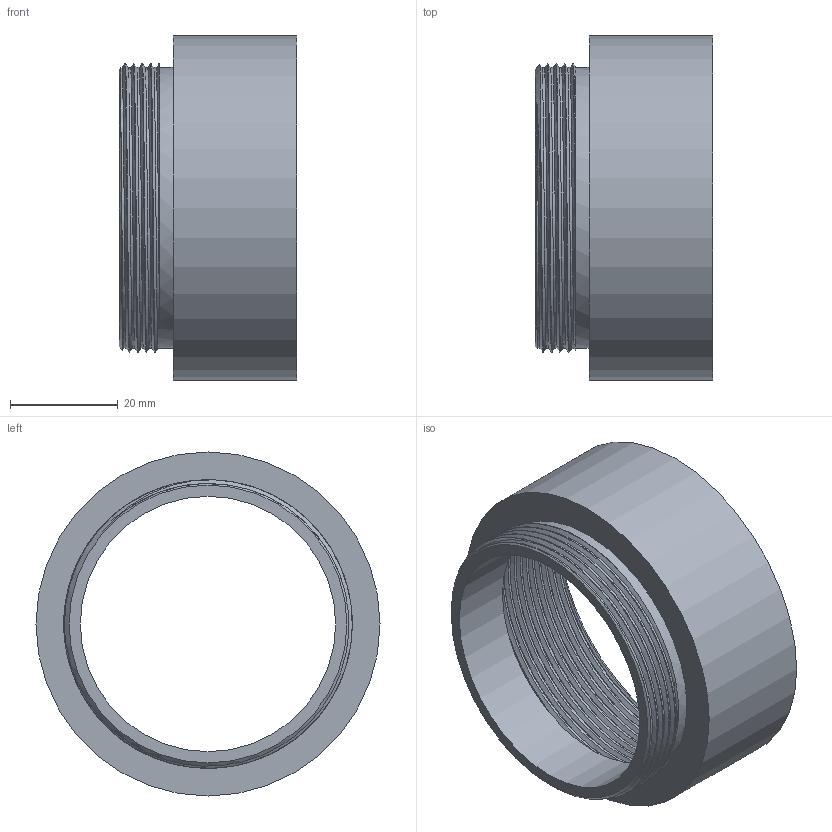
import cadquery as cq
import math

overall_length = 33.0
flange_radius = 64.0 / 2
spigot_length = 10.0
bore_radius = 47.5 / 2
socket_start = 11.35

turns_per_inch = 16
pitch = 25.4 / turns_per_inch
thread_depth = 0.7
tip_width = 0.12
half_flank_angle = math.radians(36.0)
root_overlap = 0.1

spigot_radius = 52.28 / 2
outer_major_radius = spigot_radius + thread_depth
outer_thread_length = 7.5
outer_thread_phase = 0.29
lead_in = 1.0

socket_radius = 57.96 / 2
inner_thread_phase = 1.03
socket_mouth_radius = 30.35
mouth_inner_radius = socket_radius - 0.2


def tube_along_x(radius, start, end):
    """Solid cylinder about the X axis between two X positions."""
    return cq.Workplane("YZ").workplane(offset=start).circle(radius).extrude(end - start)


def cone_along_x(start_radius, start, end_radius, end):
    """Solid truncated cone about the X axis between two X positions."""
    outline = (
        cq.Workplane("XY")
        .moveTo(start, 0)
        .lineTo(start, start_radius)
        .lineTo(end, end_radius)
        .lineTo(end, 0)
        .close()
    )
    return outline.revolve(360, (0, 0, 0), (1, 0, 0))


def threaded_rod(root_radius, start, end, phase):
    """Solid rod about the X axis with a helical ridge on it, cut square at both ends.

    One ridge crest lies on the -Z side at the distance phase beyond start.
    Rod and ridge are joined over length, so that both ends of the ridge are trimmed away.
    """
    rod_start = start - 3 * pitch
    rod_end = end + 3 * pitch
    ridge_start = start + phase - 2 * pitch
    ridge_end = end + pitch
    foot_radius = root_radius - root_overlap
    tip_radius = root_radius + thread_depth
    half_tip = tip_width / 2
    half_foot = half_tip + (tip_radius - foot_radius) * math.tan(half_flank_angle)
    path = cq.Wire.makeHelix(pitch, ridge_end - ridge_start, root_radius)
    ridge = (
        cq.Workplane("XZ")
        .moveTo(foot_radius, -half_foot)
        .lineTo(tip_radius, -half_tip)
        .lineTo(tip_radius, half_tip)
        .lineTo(foot_radius, half_foot)
        .close()
        .sweep(cq.Workplane(obj=path), isFrenet=True)
        .rotate((0, 0, 0), (0, 1, 0), 90)
        .translate((ridge_start, 0, 0))
    )
    rod = tube_along_x(root_radius, rod_start, rod_end).union(ridge)
    return rod.intersect(tube_along_x(flange_radius, start, end))


def make_spigot():
    """Spigot with an external thread, a plain neck behind it and a 45 degree lead-in."""
    spigot = threaded_rod(spigot_radius, 0, outer_thread_length, outer_thread_phase)
    spigot = spigot.union(tube_along_x(spigot_radius, outer_thread_length, spigot_length))
    lead_in_radius = outer_major_radius - lead_in
    envelope = cone_along_x(lead_in_radius, 0, lead_in_radius + spigot_length, spigot_length)
    return spigot.intersect(envelope)


def make_socket_space():
    """Space inside the socket: an internal thread with a 45 degree countersunk mouth."""
    space = threaded_rod(socket_radius, socket_start, overall_length, inner_thread_phase)
    mouth_start = overall_length - (socket_mouth_radius - mouth_inner_radius)
    return space.union(cone_along_x(mouth_inner_radius, mouth_start, socket_mouth_radius, overall_length))


flange = tube_along_x(flange_radius, spigot_length, overall_length).cut(make_socket_space())
bore = tube_along_x(bore_radius, 0, socket_start)
result = flange.union(make_spigot()).cut(bore)